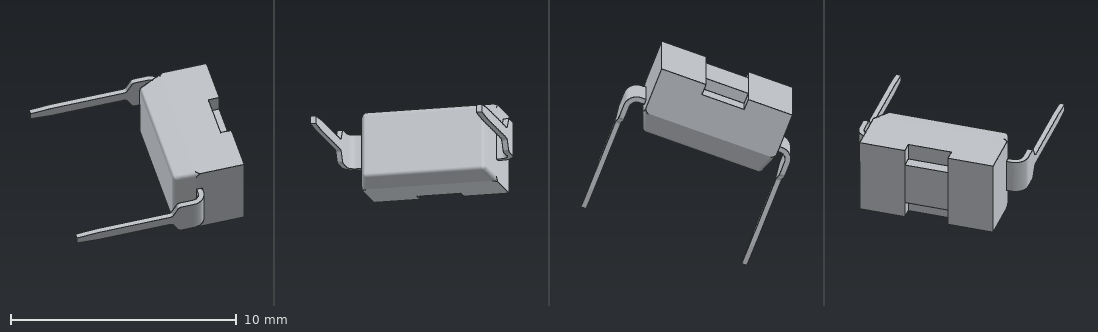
import cadquery as cq
import math

HOUSING_WIDTH = 6.2
HOUSING_HEIGHT = 3.54
STRAIGHT_DEPTH = 2.2
TAPER_DEPTH = 1.0
TAPER_INSET = 0.3
EDGE_RADIUS = 0.2
OVERSHOOT = 0.08

SLOT_WIDTH = 2.0
SLOT_DEPTH = 0.51
INSERT_HEIGHT = 2.0

OVERALL_WIDTH = 7.87
OVERALL_DEPTH = 7.94
LEAD_THICKNESS = 0.255
BEND_RADIUS = 0.6
SHOULDER_WIDTH = 1.56
PIN_WIDTH = 0.485
TIP_WIDTH = 0.35
TIP_LENGTH = 1.0
SHOULDER_END_Y = -0.92
NECK_RADIUS = 0.2
NECK_ANGLE = math.radians(60)

TIP_Y = STRAIGHT_DEPTH - OVERALL_DEPTH


def make_tapered_core():
    """Rounded frustum whose sides carry on outward past the housing walls over the full depth."""
    slope = TAPER_INSET / TAPER_DEPTH
    base_width = HOUSING_WIDTH - 2 * TAPER_INSET
    base_height = HOUSING_HEIGHT - 2 * TAPER_INSET
    depth = TAPER_DEPTH + STRAIGHT_DEPTH + OVERSHOOT
    spread = 2 * slope * depth
    core = (
        cq.Workplane("XZ", origin=(0, -TAPER_DEPTH, 0))
        .rect(base_width, base_height)
        .workplane(offset=-depth)
        .rect(base_width + spread, base_height + spread)
        .loft(ruled=True)
    )
    return core.edges("not >Y").fillet(EDGE_RADIUS)


def make_slot_block(height):
    """Block of the slot's section, centred on Z and flush with the back of the housing."""
    return cq.Workplane("XY").box(SLOT_WIDTH, SLOT_DEPTH, height).translate(
        (0, STRAIGHT_DEPTH - SLOT_DEPTH / 2, 0)
    )


def make_housing():
    depth = STRAIGHT_DEPTH + TAPER_DEPTH
    block = cq.Workplane("XY").box(HOUSING_WIDTH, depth, HOUSING_HEIGHT).translate(
        (0, (STRAIGHT_DEPTH - TAPER_DEPTH) / 2, 0)
    )
    return block.intersect(make_tapered_core()).cut(make_slot_block(HOUSING_HEIGHT)).solids()


def make_bent_strip():
    """Right-hand strip leaving the housing wall and bending round toward -Y."""
    wall_x = HOUSING_WIDTH / 2
    outer_x = OVERALL_WIDTH / 2
    inner_x = outer_x - LEAD_THICKNESS
    bend_x = outer_x - BEND_RADIUS
    bend_y = LEAD_THICKNESS - BEND_RADIUS
    inner_radius = BEND_RADIUS - LEAD_THICKNESS
    outer_offset = BEND_RADIUS * math.sqrt(0.5)
    inner_offset = inner_radius * math.sqrt(0.5)
    return (
        cq.Workplane("XY", origin=(0, 0, -SHOULDER_WIDTH / 2))
        .moveTo(wall_x, LEAD_THICKNESS)
        .lineTo(bend_x, LEAD_THICKNESS)
        .threePointArc((bend_x + outer_offset, bend_y + outer_offset), (outer_x, bend_y))
        .lineTo(outer_x, TIP_Y)
        .lineTo(inner_x, TIP_Y)
        .lineTo(inner_x, bend_y)
        .threePointArc((bend_x + inner_offset, bend_y + inner_offset), (bend_x, 0))
        .lineTo(wall_x, 0)
        .close()
        .extrude(SHOULDER_WIDTH)
    )


def make_lead_outline():
    """Flat lead shape in YZ: wide shoulder, S-shaped neck, narrow pin and tapered tip."""
    shoulder = SHOULDER_WIDTH / 2
    pin = PIN_WIDTH / 2
    tip = TIP_WIDTH / 2
    arc_length = NECK_RADIUS * math.sin(NECK_ANGLE)
    arc_drop = NECK_RADIUS * (1 - math.cos(NECK_ANGLE))
    mid_length = NECK_RADIUS * math.sin(NECK_ANGLE / 2)
    mid_drop = NECK_RADIUS * (1 - math.cos(NECK_ANGLE / 2))
    ramp_length = (shoulder - pin - 2 * arc_drop) / math.tan(NECK_ANGLE)
    ramp_start_y = SHOULDER_END_Y - arc_length
    ramp_end_y = ramp_start_y - ramp_length
    neck_end_y = ramp_end_y - arc_length
    half = (
        cq.Workplane("YZ")
        .moveTo(LEAD_THICKNESS, 0)
        .lineTo(LEAD_THICKNESS, shoulder)
        .lineTo(SHOULDER_END_Y, shoulder)
        .threePointArc((SHOULDER_END_Y - mid_length, shoulder - mid_drop), (ramp_start_y, shoulder - arc_drop))
        .lineTo(ramp_end_y, pin + arc_drop)
        .threePointArc((neck_end_y + mid_length, pin + mid_drop), (neck_end_y, pin))
        .lineTo(TIP_Y + TIP_LENGTH, pin)
        .lineTo(TIP_Y, tip)
        .lineTo(TIP_Y, 0)
    )
    return half.mirrorX().extrude(OVERALL_WIDTH / 2)


def make_lead(turn):
    """Lead on the +X side; a turn of 180 degrees about Y puts it on the -X side."""
    lead = make_bent_strip().intersect(make_lead_outline())
    return lead.rotate((0, 0, 0), (0, 1, 0), turn).solids()


housing = make_housing()
insert = make_slot_block(INSERT_HEIGHT)
leads = [make_lead(turn) for turn in (0, 180)]

result = cq.Compound.makeCompound([housing.val(), insert.val(), *[lead.val() for lead in leads]])